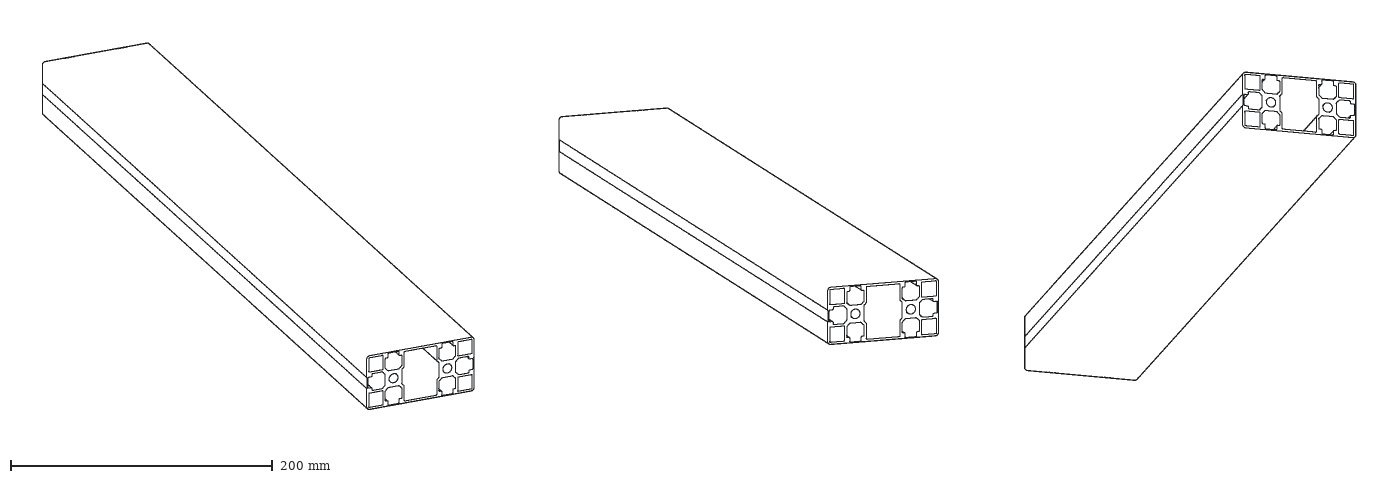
import cadquery as cq

LENGTH = 606.9
WIDTH = 90.0
HEIGHT = 45.0
CORNER_RADIUS = 2.5

WALL = 1.8

SLOT_HALF_OPENING = 4.6
SLOT_HALF_WIDTH = 7.0
SLOT_DEPTH = 15.5
SLOT_CHAMFER = 2.5
LIP_THICKNESS = 4.5
TOP_SLOT_COVER = 0.7
SIDE_SLOT_COVER = 1.2
SIDE_RECESS = 0.1

CELL_FILLET = 0.4
INNER_FILLET = 0.8

CORE_BORE_DIAMETER = 7.5
CHAMBER_STEP_CHAMFER = 1.8

HALF_WIDTH = WIDTH / 2
HALF_HEIGHT = HEIGHT / 2
CORE_Y = HALF_WIDTH - HALF_HEIGHT
CORE_HALF_SIZE = HALF_HEIGHT - SLOT_DEPTH


def prism(points):
    """Extrude a closed outline of (y, z) points over the full length."""
    return cq.Workplane("YZ").polyline(points).close().extrude(LENGTH)


def box(y_min, y_max, z_min, z_max):
    """Full-length rectangular bar spanning the given Y and Z ranges."""
    return prism([(y_min, z_min), (y_max, z_min), (y_max, z_max), (y_min, z_max)])


def outer_bar():
    bar = box(-HALF_WIDTH, HALF_WIDTH, -HALF_HEIGHT, HALF_HEIGHT)
    return bar.edges("|X").fillet(CORNER_RADIUS)


def slot_outline(cover):
    """T-slot cavity as (across, depth) points, with depth measured inward from the outer face."""
    half = [
        (SLOT_HALF_OPENING, cover),
        (SLOT_HALF_OPENING, LIP_THICKNESS),
        (SLOT_HALF_WIDTH, LIP_THICKNESS),
        (SLOT_HALF_WIDTH, SLOT_DEPTH - SLOT_CHAMFER),
        (SLOT_HALF_WIDTH - SLOT_CHAMFER, SLOT_DEPTH),
    ]
    mirrored = [(-across, depth) for across, depth in reversed(half)]
    return half + mirrored


def top_slot():
    outline = slot_outline(TOP_SLOT_COVER)
    slot = prism([(CORE_Y + across, HALF_HEIGHT - depth) for across, depth in outline])
    return slot.edges("|X").fillet(INNER_FILLET)


def side_slot():
    outline = slot_outline(SIDE_SLOT_COVER)
    slot = prism([(HALF_WIDTH - depth, across) for across, depth in outline])
    return slot.edges("|X").fillet(INNER_FILLET)


def side_recess():
    return box(HALF_WIDTH - SIDE_RECESS, HALF_WIDTH, -SLOT_HALF_OPENING, SLOT_HALF_OPENING)


def corner_cell():
    """Rectangular cavity in the outer corner, between the top slot and the side slot."""
    cell = box(
        CORE_Y + SLOT_HALF_WIDTH + WALL,
        HALF_WIDTH - WALL,
        SLOT_HALF_WIDTH + WALL,
        HALF_HEIGHT - WALL,
    )
    return cell.edges("|X").fillet(CELL_FILLET)


def core_bore():
    return cq.Workplane("YZ").center(CORE_Y, 0).circle(CORE_BORE_DIAMETER / 2).extrude(LENGTH)


def central_chamber():
    """Middle cavity, widened between the slot walls where it meets the two cores."""
    wall_y = CORE_Y - SLOT_HALF_WIDTH - WALL
    core_face_y = CORE_Y - CORE_HALF_SIZE
    top_z = HALF_HEIGHT - WALL
    step_z = CORE_HALF_SIZE + WALL / 2
    quarter = [
        (wall_y, top_z),
        (wall_y, step_z),
        (core_face_y, step_z - CHAMBER_STEP_CHAMFER),
    ]
    right_half = quarter + [(y, -z) for y, z in reversed(quarter)]
    left_half = [(-y, -z) for y, z in right_half]
    return prism(right_half + left_half).edges("|X").fillet(INNER_FILLET)


def module_cavities():
    """All cavities of the module on the +Y side."""
    cavities = [side_slot(), side_recess(), core_bore()]
    for upper in (top_slot(), corner_cell()):
        cavities += [upper, upper.mirror("XY")]
    return cavities


result = outer_bar().cut(central_chamber())
for cavity in module_cavities():
    result = result.cut(cavity).cut(cavity.mirror("XZ"))